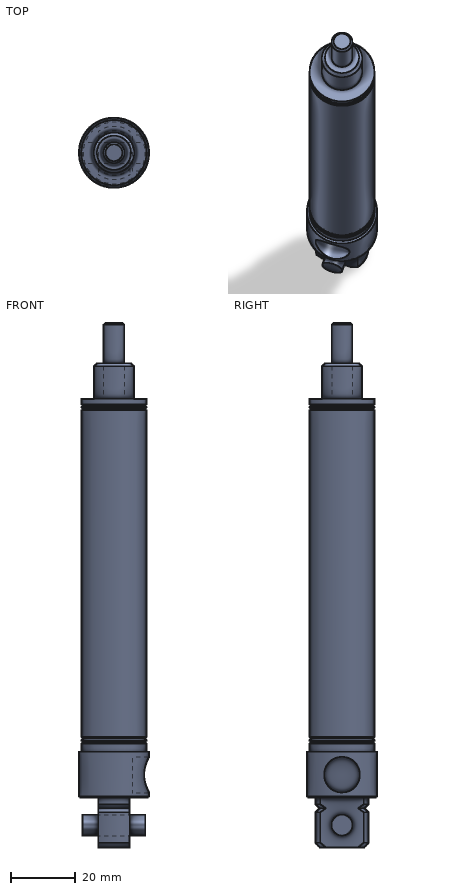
import cadquery as cq

TOTAL_HEIGHT = 163.5
NOSE_TOP = 151.0
BARREL_TOP = 139.9
CAP_TOP = 30.0
CAP_BOTTOM = 15.5

BARREL_RADIUS = 10.1
NOSE_RADIUS = 6.3
NOSE_CHAMFER = 1.0
CAP_RADIUS = 11.0
CAP_CHAMFER = 0.5

CRIMP_DEPTH = 0.5
CRIMP_WIDTH = 1.0
CRIMP_HEIGHTS = (32.9, 34.0, 136.8, 137.7)

PORT_RADIUS = 5.5
PORT_FLOOR_X = 5.7
PORT_HEIGHT = (CAP_TOP + CAP_BOTTOM) / 2

TONGUE_RADIUS = 8.3
TONGUE_THICKNESS = 9.8
TONGUE_CHAMFER = 1.5
TONGUE_GROOVE_HEIGHT = 12.3
TONGUE_GROOVE_WIDTH = 2.5
TONGUE_GROOVE_DEPTH = 1.3

PIN_RADIUS = 3.3
PIN_LENGTH = 19.6
PIN_HEIGHT = 7.0

ROD_RADIUS = 3.3
ROD_CHAMFER = 0.7
ROD_BOTTOM = BARREL_TOP


def disc(radius, bottom, top):
    """Upright cylinder on the Z axis between two heights."""
    return cq.Workplane("XY").workplane(offset=bottom).circle(radius).extrude(top - bottom)


def cross_cylinder(radius, start_x, end_x, height):
    """Cylinder parallel to X, crossing the Z axis at the given height."""
    plane = cq.Workplane("YZ", origin=(start_x, 0, height))
    return plane.circle(radius).extrude(end_x - start_x)


def v_groove(radius, height, width, depth):
    """Ring cutter with a triangular section pointing at the axis."""
    outer_radius = radius + depth
    section = (
        cq.Workplane("XZ")
        .moveTo(radius - depth, height)
        .lineTo(outer_radius, height + width)
        .lineTo(outer_radius, height - width)
        .close()
    )
    return section.revolve(360, (0, 0, 0), (0, 1, 0))


def make_rod():
    return disc(ROD_RADIUS, ROD_BOTTOM, TOTAL_HEIGHT).faces(">Z").chamfer(ROD_CHAMFER)


def make_pin():
    return cross_cylinder(PIN_RADIUS, -PIN_LENGTH / 2, PIN_LENGTH / 2, PIN_HEIGHT)


def make_tongue():
    tongue = disc(TONGUE_RADIUS, 0, CAP_BOTTOM).faces("<Z").chamfer(TONGUE_CHAMFER)
    tongue = tongue.cut(
        v_groove(TONGUE_RADIUS, TONGUE_GROOVE_HEIGHT, TONGUE_GROOVE_WIDTH, TONGUE_GROOVE_DEPTH)
    )
    flats = cq.Workplane("XY").box(
        TONGUE_THICKNESS, 2 * TONGUE_RADIUS, CAP_BOTTOM, centered=(True, True, False)
    )
    return tongue.intersect(flats)


def make_housing(rod, pin):
    barrel = disc(BARREL_RADIUS, CAP_TOP, BARREL_TOP)
    for height in CRIMP_HEIGHTS:
        barrel = barrel.cut(v_groove(BARREL_RADIUS, height, CRIMP_WIDTH, CRIMP_DEPTH))

    nose = disc(NOSE_RADIUS, BARREL_TOP, NOSE_TOP).faces(">Z").chamfer(NOSE_CHAMFER)

    cap = disc(CAP_RADIUS, CAP_BOTTOM, CAP_TOP).faces("<Z").chamfer(CAP_CHAMFER)
    cap = cap.cut(cross_cylinder(PORT_RADIUS, PORT_FLOOR_X, CAP_RADIUS, PORT_HEIGHT))

    housing = cap.union(barrel).union(nose).union(make_tongue())
    return housing.cut(rod).cut(pin)


rod = make_rod()
pin = make_pin()
housing = make_housing(rod, pin)

result = cq.Compound.makeCompound([housing.val(), rod.val(), pin.val()])